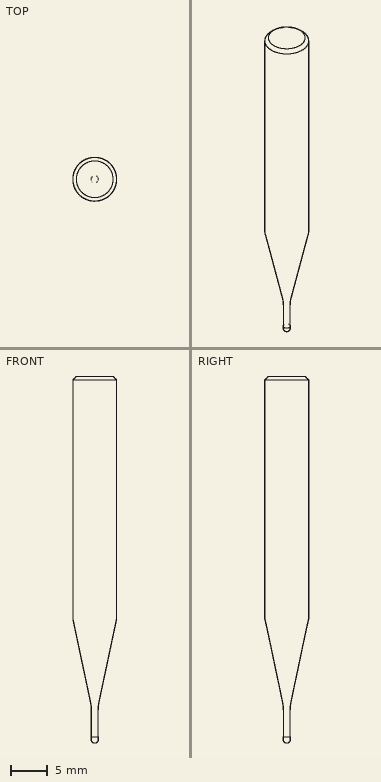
import cadquery as cq
import math

total_length = 50.0
cone_top_z = 16.95
cone_bottom_z = 5.65
collar_bottom_z = 5.05
neck_top_z = 4.45
cutter_top_z = 0.85

shank_radius = 3.0
shank_chamfer = 0.5
cone_bottom_radius = 0.6
collar_bottom_radius = 0.5
neck_radius = 0.475
cutter_radius = 0.5


def revolve_about_axis(profile):
    """Turn a closed profile, drawn as radius and height, about the Z axis."""
    return profile.close().revolve(360, (0, 0, 0), (0, 1, 0))


def make_holder():
    """Chamfered shank that narrows through a cone and a short collar to the neck."""
    profile = (
        cq.Workplane("XZ")
        .moveTo(0, cutter_top_z)
        .lineTo(neck_radius, cutter_top_z)
        .lineTo(neck_radius, neck_top_z)
        .lineTo(collar_bottom_radius, collar_bottom_z)
        .lineTo(cone_bottom_radius, cone_bottom_z)
        .lineTo(shank_radius, cone_top_z)
        .lineTo(shank_radius, total_length - shank_chamfer)
        .lineTo(shank_radius - shank_chamfer, total_length)
        .lineTo(0, total_length)
    )
    return revolve_about_axis(profile)


def make_cutter():
    """Short cylindrical cutting head with a hemispherical ball nose."""
    arc_offset = cutter_radius * math.sqrt(0.5)
    profile = (
        cq.Workplane("XZ")
        .moveTo(0, 0)
        .threePointArc((arc_offset, cutter_radius - arc_offset), (cutter_radius, cutter_radius))
        .lineTo(cutter_radius, cutter_top_z)
        .lineTo(0, cutter_top_z)
    )
    return revolve_about_axis(profile)


holder = make_holder()
cutter = make_cutter()

result = cq.Compound.makeCompound([holder.val(), cutter.val()])